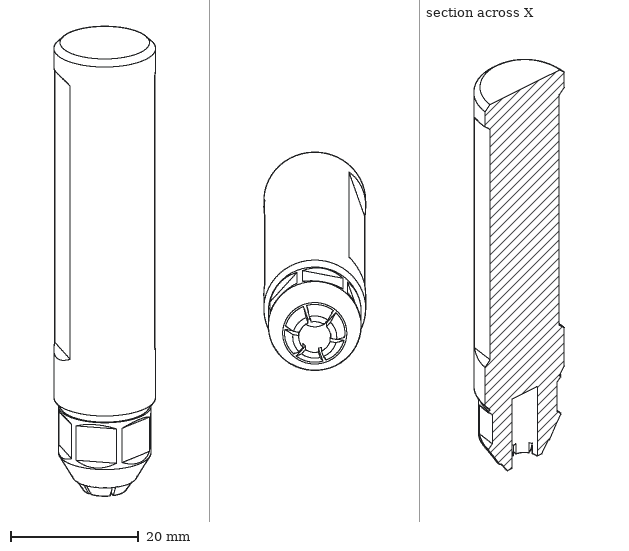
import cadquery as cq

total_length = 75.0
shank_radius = 16.0 / 2
shank_chamfer = 1.0

nut_radius = 7.3
nut_flat_count = 6
nut_bottom = 6.0
nut_top = 13.9
nut_cone_end_radius = 5.0

shank_bottom_edge = 15.3
shank_end_radius = 7.0

nose_length = 2.0
nose_top_radius = 4.7
nose_tip_radius = 3.45
bore_radius = 5.0 / 2
slot_width = 0.5
slot_count = 3

nut_flat_distance = 6.5
nut_flat_bottom = 7.0
nut_flat_top = 12.75
shank_flat_count = 2
shank_flat_distance = 7.0
shank_flat_bottom = 24.0
shank_flat_top = 70.0


def turned_body():
    """Solid of revolution: nose, nut and shank."""
    profile = [
        (0, 0),
        (nose_tip_radius, 0),
        (nose_top_radius, nose_length),
        (nut_cone_end_radius, nose_length),
        (nut_radius, nut_bottom),
        (nut_radius, nut_top),
        (shank_end_radius, nut_top),
        (shank_radius, shank_bottom_edge),
        (shank_radius, total_length - shank_chamfer),
        (shank_radius - shank_chamfer, total_length),
        (0, total_length),
    ]
    return cq.Workplane("XZ").polyline(profile).close().revolve(360, (0, 0), (0, 1))


def flat_cutter(distance, bottom, top):
    """Cutter on the -Y side for a flat whose two ends run out at 45 degrees."""
    runout = shank_radius - distance
    profile = [
        (-distance, bottom),
        (-distance, top),
        (-distance - runout, top + runout),
        (-distance - runout, bottom - runout),
    ]
    return cq.Workplane("YZ").polyline(profile).close().extrude(shank_radius, both=True)


def cut_flats(body, count, distance, bottom, top):
    """Cut equally spaced flats around the axis, the first one facing -Y."""
    cutter = flat_cutter(distance, bottom, top)
    for index in range(count):
        body = body.cut(cutter.rotate((0, 0, 0), (0, 0, 1), index * 360 / count))
    return body


def cut_collet(body):
    """Bore the collet up through the nut and split its exposed nose with slots."""
    bore = cq.Workplane("XY").circle(bore_radius).extrude(nut_top)
    body = body.cut(bore)
    slot = cq.Workplane("XY").rect(2 * nose_top_radius, slot_width).extrude(nose_length)
    for index in range(slot_count):
        body = body.cut(slot.rotate((0, 0, 0), (0, 0, 1), index * 180 / slot_count))
    return body


result = turned_body()
result = cut_flats(result, nut_flat_count, nut_flat_distance, nut_flat_bottom, nut_flat_top)
result = cut_flats(result, shank_flat_count, shank_flat_distance, shank_flat_bottom, shank_flat_top)
result = cut_collet(result)